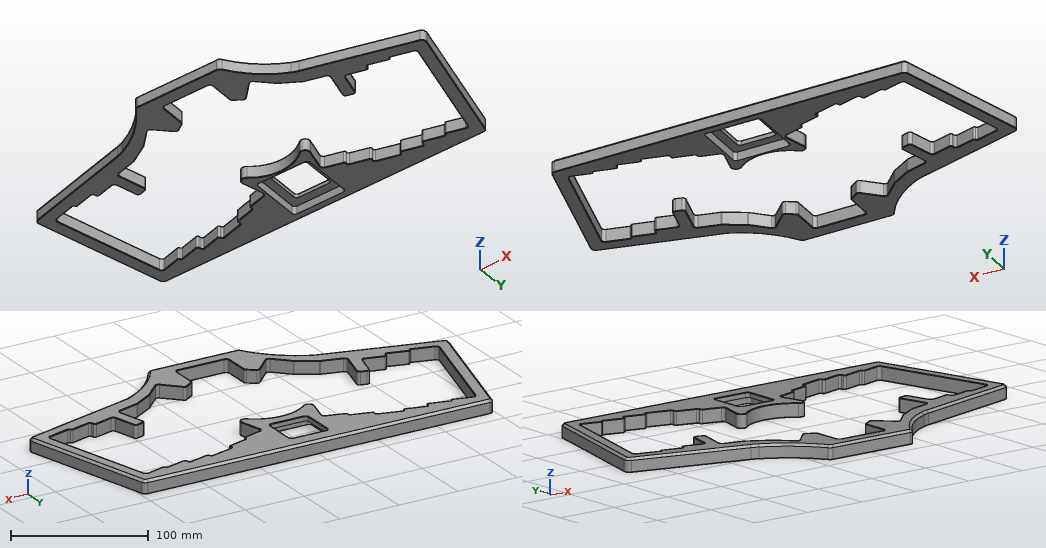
import cadquery as cq
import math


LENGTH = 354.5
WIDTH = 176.0
THICKNESS = 11.0
TOP_CHAMFER = 1.95
BOTTOM_CHAMFER = 0.5
INNER_CHAMFER = 0.53
OUTER_RADIUS = 4.0

WING_ANGLE = math.radians(15)
WING_COS = math.cos(WING_ANGLE)
WING_SIN = math.sin(WING_ANGLE)
WING_BOTTOM = -70.5

FOUR_KEY_SPAN = 76.2
KEY_PITCH = FOUR_KEY_SPAN / 4
ROWS = 5
KEY_CLEARANCE = 1.5
COLUMNS_START = -153.5
FIRST_COLUMN_CENTRE = -11.0
COLUMN_STAGGER = [2.55, 5.0, 3.5, -4.0, -3.2]
COLUMN_COUNT = len(COLUMN_STAGGER) + 1
COLUMN_CENTRES = [FIRST_COLUMN_CENTRE + sum(COLUMN_STAGGER[:index]) for index in range(COLUMN_COUNT)]
FULL_COLUMNS = 3
COLUMN_REACH = ROWS * KEY_PITCH / 2 + KEY_CLEARANCE
SMALL_STEP_RADIUS = 2.5 / 2
STEP_RADIUS = 3.1 / 2

TAB_WIDTH = 10.0
TAB_TOP = -29.8

THUMB_LEVEL = -57.0
THUMB_START = -65.0
THUMB_BEND = (-61.0, -48.2)
NOTCH_BOTTOM = (-46.8, -62.5)
HORN_TIP = (-31.2, -46.8)
HORN_SHOULDER = -52.8

RECESS_HALF_WIDTH = 22.0
RECESS_BOTTOM = -77.0
ARCH_RADIUS = 37.2
ARCH_TOP = 35.0
ARCH_CENTRE = ARCH_TOP - ARCH_RADIUS
PRONG_RADIUS = 4.3
OPENING_RADIUS = 2.5

WINDOW_LENGTH = 32.3
WINDOW_WIDTH = 30.5
WINDOW_CENTRE = 59.5
WINDOW_LIP = 4.0

POCKET_MARGIN = 7.5

CURVE_RADIUS = 88.5
CURVE_START = -80.0
CURVE_BLEND_RADIUS = 35.5
BOTTOM_HALF_LENGTH = 38.3

PLACE_TOLERANCE = 0.05


def from_wing(along, across):
    """Convert left-wing coordinates to X, Y."""
    return (along * WING_COS + across * WING_SIN, across * WING_COS - along * WING_SIN)


def to_wing(x, y):
    """Convert X, Y to left-wing coordinates."""
    return (x * WING_COS - y * WING_SIN, x * WING_SIN + y * WING_COS)


def polar(centre, radius, angle):
    return (centre[0] + radius * math.cos(angle), centre[1] + radius * math.sin(angle))


def mirrored(half):
    return half.union(half.mirror("YZ")).clean()


def fillet_at(solid, places, radius):
    """Round the upright edges that stand at the given X, Y places."""

    def is_chosen(edge):
        centre = edge.Center()
        return any(math.dist((centre.x, centre.y), place) < PLACE_TOLERANCE for place in places)

    return solid.edges("|Z").filter(is_chosen).fillet(radius)


def column_steps(levels, side):
    """Stepped edge along neighbouring columns; side is +1 for the upper edge, -1 for the lower."""
    points = []
    for index in range(1, len(levels)):
        before, after = levels[index - 1], levels[index]
        overlap = KEY_CLEARANCE if side * before > side * after else -KEY_CLEARANCE
        step = COLUMNS_START + index * KEY_PITCH + overlap
        points += [(step, before), (step, after)]
    return points


def body():
    half_width = WIDTH / 2
    corner_x = OUTER_RADIUS - LENGTH / 2
    corner_across = WING_BOTTOM + OUTER_RADIUS
    wing_end = (corner_x - corner_across * WING_SIN) / WING_COS - OUTER_RADIUS
    wing_corner = from_wing(wing_end, WING_BOTTOM)
    top_corner = ((wing_end + half_width * WING_SIN) / WING_COS, half_width)
    curve_start = (CURVE_START, (WING_BOTTOM - CURVE_START * WING_SIN) / WING_COS)
    curve_end = (-BOTTOM_HALF_LENGTH, -half_width)
    half = (
        cq.Workplane("XY")
        .moveTo(0, half_width)
        .lineTo(*top_corner)
        .lineTo(*wing_corner)
        .lineTo(*curve_start)
        .radiusArc(curve_end, CURVE_RADIUS)
        .lineTo(0, -half_width)
        .close()
        .extrude(THICKNESS)
    )
    half = fillet_at(half, [curve_start], CURVE_BLEND_RADIUS)
    half = fillet_at(half, [top_corner, wing_corner, curve_end], OUTER_RADIUS)
    plate = mirrored(half)
    return plate.faces(">Z").chamfer(TOP_CHAMFER).faces("<Z").chamfer(BOTTOM_CHAMFER)


def opening():
    upper = [centre + COLUMN_REACH for centre in COLUMN_CENTRES]
    lower = [centre - COLUMN_REACH for centre in COLUMN_CENTRES[:FULL_COLUMNS]]
    outer_end = COLUMNS_START - KEY_CLEARANCE
    inner_end = COLUMNS_START + COLUMN_COUNT * KEY_PITCH + KEY_CLEARANCE
    upper_steps = column_steps(upper, 1)
    lower_steps = column_steps(lower, -1)
    tab_left = COLUMNS_START + FULL_COLUMNS * KEY_PITCH + KEY_CLEARANCE
    tab_right = tab_left + TAB_WIDTH

    arch = to_wing(0, ARCH_CENTRE)
    prong_along = inner_end + PRONG_RADIUS
    prong_angle = math.acos((prong_along - arch[0]) / (ARCH_RADIUS + PRONG_RADIUS))
    prong = polar(arch, ARCH_RADIUS + PRONG_RADIUS, prong_angle)
    prong_start = (inner_end, prong[1])
    prong_middle = polar(prong, PRONG_RADIUS, math.pi + prong_angle / 2)
    arch_start = polar(arch, ARCH_RADIUS, prong_angle)
    arch_middle = polar(arch, ARCH_RADIUS, (prong_angle + math.pi / 2 + WING_ANGLE) / 2)

    wing_points = [(inner_end, upper[-1])]
    wing_points += reversed(upper_steps)
    wing_points += [(outer_end, upper[0]), (outer_end, lower[0])]
    wing_points += lower_steps
    wing_points += [(tab_left, lower[-1]), (tab_left, TAB_TOP), (tab_right, TAB_TOP)]
    wing_points += [(tab_right, THUMB_LEVEL), (THUMB_START, THUMB_LEVEL)]
    outline = [from_wing(*point) for point in wing_points]
    outline += [THUMB_BEND, NOTCH_BOTTOM, HORN_TIP]
    outline += [(-RECESS_HALF_WIDTH, HORN_SHOULDER), (-RECESS_HALF_WIDTH, RECESS_BOTTOM)]
    outline += [(0, RECESS_BOTTOM)]

    half = (
        cq.Workplane("XY")
        .moveTo(0, ARCH_TOP)
        .threePointArc(from_wing(*arch_middle), from_wing(*arch_start))
        .threePointArc(from_wing(*prong_middle), from_wing(*prong_start))
    )
    for point in outline:
        half = half.lineTo(*point)
    half = half.close().extrude(THICKNESS)

    step_corners = [from_wing(*point) for point in upper_steps + lower_steps]
    main_corners = [point for point in outline[:-1] if point not in step_corners]
    small_corners = [from_wing(*point) for point in upper_steps[:2] + lower_steps[:2]]
    large_corners = [point for point in step_corners if point not in small_corners]
    half = fillet_at(half, small_corners, SMALL_STEP_RADIUS)
    half = fillet_at(half, large_corners, STEP_RADIUS)
    half = fillet_at(half, main_corners, OPENING_RADIUS)
    return mirrored(half)


def rounded_block(length, width, height):
    return (
        cq.Workplane("XY")
        .center(0, WINDOW_CENTRE)
        .rect(length, width)
        .extrude(height)
        .edges("|Z")
        .fillet(OPENING_RADIUS)
    )


def window():
    return rounded_block(WINDOW_LENGTH, WINDOW_WIDTH, THICKNESS)


def window_pocket():
    length = WINDOW_LENGTH + 2 * POCKET_MARGIN
    width = WINDOW_WIDTH + 2 * POCKET_MARGIN
    return rounded_block(length, width, THICKNESS - WINDOW_LIP)


def chamfer_inner_edges(frame):
    faces = frame.faces("<Z or >Z").vals()
    edges = [edge for face in faces for wire in face.innerWires() for edge in wire.Edges()]
    return frame.newObject(edges).chamfer(INNER_CHAMFER)


frame = body().cut(opening()).cut(window())
result = chamfer_inner_edges(frame).cut(window_pocket())